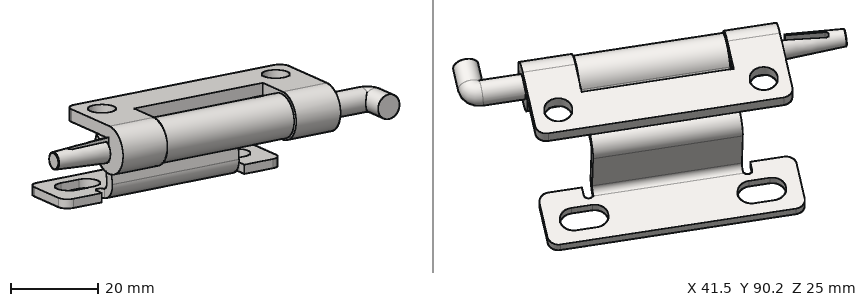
import math

import cadquery as cq


leaf_length = 60.05
corner_radius = 2.5
pin_radius = 3.0

upper_left = -18.1
upper_thickness = 3.1
upper_knuckle_radius = 5.8
upper_underside = upper_knuckle_radius - upper_thickness
upper_hole_diameter = 6.5
upper_hole_x = -12.0
upper_hole_spacing = 48.0
roll_tip_outer_angle = 154.5
roll_tip_inner_angle = 165.5

lower_knuckle_length = 35.0
lower_knuckle_radius = 5.3
lower_thickness = 2.25
arm_top = 1.35
knuckle_fillet = 1.5
web_lean = 5.5
web_corner_x = -21.3
bend_inner_radius = 1.6
bend_outer_radius = bend_inner_radius + lower_thickness
total_height = 25.0
foot_bottom = upper_knuckle_radius - total_height
foot_top = foot_bottom + lower_thickness
foot_left = -33.45
foot_width = 15.0
foot_right = foot_left + foot_width
foot_slot_x = -27.0
foot_slot_y = 20.7
foot_slot_width = 6.4
foot_slot_length = 11.3
relief_width = 2.2
relief_end_x = -21.8

knuckle_clearance = 0.3
notch_length = lower_knuckle_length + 2 * knuckle_clearance
notch_left = -8.0

total_length = 90.2
tail_end_y = -45.4
handle_axis_y = tail_end_y + total_length - pin_radius
handle_end_x = 8.0
elbow_radius = 2.0
tail_end_radius = 2.1
tail_chamfer = 0.2
barb_tip_y = -31.6
barb_slot_width = 1.5
barb_slot_end_y = -40.7


def y_cylinder(radius, y_start, y_end):
    """Cylinder on the hinge axis between two Y positions."""
    plane = cq.Workplane("XZ", origin=(0, y_start, 0))
    return plane.circle(radius).extrude(y_start - y_end)


def y_prism(points, length):
    """XZ outline extruded along Y, centred on the XZ plane."""
    return cq.Workplane("XZ").polyline(points).close().extrude(length / 2, both=True)


def flat_plate(left, right, bottom, top):
    """Plate as long as the leaves, centred along Y."""
    plate = cq.Workplane("XY").box(right - left, leaf_length, top - bottom, centered=(False, True, False))
    return plate.translate((left, 0, bottom))


def polar(radius, angle):
    """XZ point at an angle in degrees from +X."""
    return (radius * math.cos(math.radians(angle)), radius * math.sin(math.radians(angle)))


def make_elbow():
    """Quarter bend tighter than the pin radius, so the pin circle is cut off at the bend axis."""
    half_chord = math.sqrt(pin_radius**2 - elbow_radius**2)
    section = (
        cq.Workplane("XZ", origin=(0, handle_axis_y - elbow_radius, 0))
        .moveTo(elbow_radius, half_chord)
        .threePointArc((-pin_radius, 0), (elbow_radius, -half_chord))
        .close()
    )
    return section.revolve(90, (elbow_radius, 0.9, 0), (elbow_radius, 0, 0))


def make_tail():
    """Tapered end of the pin, split by a slot that leaves a springy barb on the +X side."""
    leaf_end = -leaf_length / 2
    tail = (
        cq.Workplane("XY")
        .moveTo(0, leaf_end)
        .lineTo(pin_radius, leaf_end)
        .lineTo(tail_end_radius, tail_end_y + tail_chamfer)
        .lineTo(tail_end_radius - tail_chamfer, tail_end_y)
        .lineTo(0, tail_end_y)
        .close()
        .revolve(360, (0, 0, 0), (0, 1, 0))
    )
    slope = (pin_radius - tail_end_radius) / (leaf_end - tail_end_y)
    slot_top_x = slope * (leaf_end - barb_slot_end_y)
    half_width = barb_slot_width / 2
    slot = (
        cq.Workplane("XY")
        .moveTo(-half_width, barb_slot_end_y)
        .threePointArc((0, barb_slot_end_y - half_width), (half_width, barb_slot_end_y))
        .lineTo(half_width + slope * (barb_tip_y - barb_slot_end_y), barb_tip_y)
        .lineTo(2 * pin_radius, barb_tip_y)
        .lineTo(2 * pin_radius, leaf_end)
        .lineTo(slot_top_x - half_width, leaf_end)
        .close()
        .extrude(pin_radius, both=True)
    )
    return tail.cut(slot)


def make_pin():
    """Bent pin fixed in the outer knuckles."""
    bend_start_y = handle_axis_y - elbow_radius
    shaft = y_cylinder(pin_radius, -leaf_length / 2, bend_start_y)
    handle = (
        cq.Workplane("YZ", origin=(elbow_radius, handle_axis_y, 0))
        .circle(pin_radius)
        .extrude(handle_end_x - elbow_radius)
    )
    return shaft.union(make_elbow()).union(handle).union(make_tail())


def make_upper_leaf():
    """Plate with two outer knuckles, carrying the fixed pin."""
    plate = flat_plate(upper_left, 0, upper_underside, upper_knuckle_radius)
    plate = plate.edges("|Z and <X").fillet(corner_radius)
    holes = (
        cq.Workplane("XY")
        .pushPoints([(upper_hole_x, side * upper_hole_spacing / 2) for side in (-1, 1)])
        .circle(upper_hole_diameter / 2)
        .extrude(upper_knuckle_radius)
    )
    roll = y_cylinder(upper_knuckle_radius, -leaf_length / 2, leaf_length / 2)
    roll_gap = y_prism(
        [
            (-upper_knuckle_radius, upper_underside),
            (0, upper_underside),
            polar(pin_radius, roll_tip_inner_angle),
            polar(upper_knuckle_radius, roll_tip_outer_angle),
        ],
        leaf_length,
    )
    notch = cq.Workplane("XY").box(
        upper_knuckle_radius - notch_left,
        notch_length,
        2 * upper_knuckle_radius,
        centered=(False, True, True),
    ).translate((notch_left, 0, 0))
    leaf = plate.cut(holes).union(roll.cut(roll_gap)).cut(notch)
    return leaf.union(make_pin())


def make_bent_sheet():
    """Arm, leaning web and the start of the foot, as one bent strip."""
    lean = math.radians(web_lean)
    web_across = lower_thickness / math.cos(lean)
    arm_bottom = arm_top - lower_thickness

    def web_left(z):
        return web_corner_x + (arm_top - z) * math.tan(lean)

    upper_outer = (web_corner_x, arm_top)
    upper_inner = (web_left(arm_bottom) + web_across, arm_bottom)
    lower_outer = (web_left(foot_bottom) + web_across, foot_bottom)
    lower_inner = (web_left(foot_top), foot_top)
    strip = y_prism(
        [
            (0, arm_top),
            upper_outer,
            lower_inner,
            (foot_left, foot_top),
            (foot_left, foot_bottom),
            lower_outer,
            upper_inner,
            (0, arm_bottom),
        ],
        lower_knuckle_length,
    )
    bends = [
        (upper_outer, bend_outer_radius),
        (upper_inner, bend_inner_radius),
        (lower_outer, bend_outer_radius),
        (lower_inner, bend_inner_radius),
    ]
    for (x, z), radius in bends:
        corner = cq.selectors.NearestToPointSelector((x, 0, z))
        strip = strip.edges(corner).fillet(radius)
    return strip


def make_knuckle_fillet():
    """Concave fillet where the top of the arm meets the middle knuckle."""
    centre_z = arm_top + knuckle_fillet
    centre_distance = lower_knuckle_radius + knuckle_fillet
    centre_x = -math.sqrt(centre_distance**2 - centre_z**2)
    wedge = y_prism([(centre_x, arm_top), (centre_x, centre_z), (0, 0)], lower_knuckle_length)
    hollow = (
        cq.Workplane("XZ")
        .center(centre_x, centre_z)
        .circle(knuckle_fillet)
        .extrude(lower_knuckle_length, both=True)
    )
    return wedge.cut(hollow)


def make_foot():
    """Ends of the mounting foot, with the bend reliefs beside the web."""
    foot = flat_plate(foot_left, foot_right, foot_bottom, foot_top).edges("|Z").fillet(corner_radius)
    relief_length = 2 * (foot_right - relief_end_x)
    relief_y = (lower_knuckle_length + relief_width) / 2
    reliefs = (
        cq.Workplane("XY", origin=(0, 0, foot_bottom))
        .pushPoints([(foot_right, side * relief_y) for side in (-1, 1)])
        .slot2D(relief_length, relief_width)
        .extrude(lower_thickness)
    )
    middle = cq.Workplane("XY", origin=(foot_right, 0, foot_bottom)).box(
        relief_length, lower_knuckle_length, lower_thickness, centered=(True, True, False)
    )
    return foot.cut(reliefs).cut(middle)


def make_foot_slots():
    """Cutting bodies of the two mounting slots, which also reach into the bent strip."""
    return (
        cq.Workplane("XY", origin=(0, 0, foot_bottom))
        .pushPoints([(foot_slot_x, side * foot_slot_y) for side in (-1, 1)])
        .slot2D(foot_slot_length, foot_slot_width, 90)
        .extrude(lower_thickness)
    )


def make_lower_leaf():
    """Bent leaf with the middle knuckle, free to turn on the pin."""
    half_length = lower_knuckle_length / 2
    knuckle = y_cylinder(lower_knuckle_radius, -half_length, half_length)
    leaf = make_bent_sheet().union(knuckle).union(make_knuckle_fillet()).union(make_foot())
    bore = y_cylinder(pin_radius, -half_length, half_length)
    return leaf.cut(bore).cut(make_foot_slots())


upper_leaf = make_upper_leaf()
lower_leaf = make_lower_leaf()

result = cq.Compound.makeCompound([upper_leaf.solids().val(), lower_leaf.solids().val()])